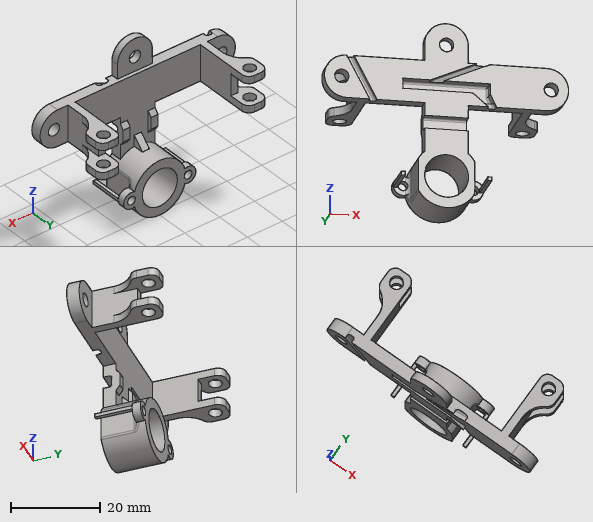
import cadquery as cq
import math


bar_length = 56.0
bar_height = 10.0
bar_depth = 3.0
half_height = bar_height / 2
tongue_top = 14.0
tongue_depth = 2.0
mount_hole_d = 3.2
mount_hole_x = 24.0

overall_depth = 20.0
wall_inner_x = 18.0
wall_thickness = 2.0
wall_outer_x = wall_inner_x + wall_thickness
wall_depth = 14.0
lug_width = 6.0
lug_outer_x = wall_inner_x + lug_width
lug_thickness = 2.0
lug_corner_r = 2.0
lug_flank_r = 6.0
lug_straight_y = 15.25
lug_hole_d = 3.1
lug_hole_y = 17.0

ring_outer_r = 7.5
ring_bore_d = 10.0
ring_depth = 11.0
ring_z = -22.0
flat_x = 6.5
ear_thickness = 2.0
ear_front_y = ring_depth - ear_thickness
ear_x = 8.1
ear_r = 2.25
ear_hole_d = 2.2
ear_fillet_r = 1.0
rim_fillet_r = 1.0
support_size = 0.9

neck_width = bar_height
slot_z = -9.5
slot_height = 3.0
slot_depth = 2.0
bulge_width = 2.0
bulge_height = 1.0
bulge_top_half = 1.6
bulge_base_half = 2.95
gusset_width = 2.0
gusset_depth = 6.0

floor_fillet_r = 0.5
pocket_half_length = 10.0
pocket_top_z = 0.45
pocket_bottom_z = -1.95
pocket_depth = 2.5
branch_start_x = 6.0
branch_end_left_x = 9.65
branch_end_right_x = 11.5
ledge_z = -3.8
ledge_depth = 1.5
left_groove_width = 1.5
left_groove_depth = 1.3
left_groove_top_x = -22.05
left_groove_bottom_x = -16.8
upper_groove_width = 1.25
upper_groove_depth = 1.5
upper_groove_top_x = 8.45
upper_groove_low_x = -4.9

overrun = 1.1
ledge_overrun = 0.3
small_gap = 0.05
rim_tolerance = 0.3


def front_plane(y=0.0):
    return cq.Workplane("XZ", origin=(0, y, 0))


def slab(width, z_low, z_high, y_low, y_high, x=0.0):
    """Box centred on x, spanning the given Z and Y ranges."""
    box = cq.Workplane("XY").box(width, y_high - y_low, z_high - z_low, centered=(True, False, False))
    return box.translate((x, y_low, z_low))


def cylinder(x, z, radius, y_low, y_high):
    return front_plane(y_low).center(x, z).circle(radius).extrude(y_low - y_high)


def side_profile_bar(points, width, x=0.0):
    """Bar of the given X width, centred on x, with a (y, z) polygon as its profile."""
    return cq.Workplane("YZ", origin=(x, 0, 0)).polyline(points).close().extrude(width / 2, both=True)


def make_plate():
    end_x = bar_length / 2 - half_height
    plate = slab(2 * end_x, -half_height, half_height, 0, bar_depth)
    for side in (-1, 1):
        plate = plate.union(cylinder(side * end_x, 0, half_height, 0, bar_depth))
    tongue_z = tongue_top - half_height
    plate = plate.union(slab(bar_height, 0, tongue_z, 0, tongue_depth))
    plate = plate.union(cylinder(0, tongue_z, half_height, 0, tongue_depth))
    for x, z in ((-mount_hole_x, 0), (mount_hole_x, 0), (0, tongue_z)):
        plate = plate.cut(cylinder(x, z, mount_hole_d / 2, -overrun, bar_depth + overrun))
    return plate


def make_lug(z_low):
    """Lug plate whose outer flank runs into the wall through two tangent arcs."""
    overhang = lug_outer_x - wall_outer_x
    turn = math.acos(1 - overhang / (lug_corner_r + lug_flank_r))
    flank_y = lug_straight_y - (lug_corner_r + lug_flank_r) * math.sin(turn)
    corner_x = lug_outer_x - lug_corner_r
    flank_x = wall_outer_x + lug_flank_r

    def on_corner(angle):
        return (corner_x + lug_corner_r * math.cos(angle), lug_straight_y - lug_corner_r * math.sin(angle))

    def on_flank(angle):
        return (flank_x - lug_flank_r * math.cos(angle), flank_y + lug_flank_r * math.sin(angle))

    lug = (
        cq.Workplane("XY", origin=(0, 0, z_low))
        .moveTo(wall_inner_x, 0)
        .lineTo(wall_outer_x, 0)
        .lineTo(wall_outer_x, flank_y)
        .threePointArc(on_flank(turn / 2), on_flank(turn))
        .threePointArc(on_corner(turn / 2), on_corner(0))
        .lineTo(lug_outer_x, overall_depth)
        .lineTo(wall_inner_x, overall_depth)
        .close()
        .extrude(lug_thickness)
        .edges("|Z and >Y")
        .fillet(lug_corner_r)
    )
    hole_x = wall_inner_x + lug_width / 2
    hole = cq.Workplane("XY", origin=(hole_x, lug_hole_y, z_low)).circle(lug_hole_d / 2).extrude(lug_thickness)
    return lug.cut(hole)


def make_clevis():
    wall_x = wall_inner_x + wall_thickness / 2
    clevis = slab(wall_thickness, -half_height, half_height, 0, wall_depth, wall_x)
    for z_low in (-half_height, half_height - lug_thickness):
        clevis = clevis.union(make_lug(z_low))
    return clevis


def make_neck():
    neck = slab(neck_width, ring_z, 0, 0, bar_depth)
    bulge_y = bar_depth + bulge_height
    bulge_profile = [
        (bar_depth, slot_z + bulge_base_half),
        (bulge_y, slot_z + bulge_top_half),
        (bulge_y, slot_z - bulge_top_half),
        (bar_depth, slot_z - bulge_base_half),
        (0, slot_z - bulge_base_half),
        (0, slot_z + bulge_base_half),
    ]
    for side in (-1, 1):
        x = side * (neck_width - bulge_width) / 2
        neck = neck.union(side_profile_bar(bulge_profile, bulge_width, x))
    ring_top = ring_z + ring_outer_r
    gusset_root_z = ring_z + ring_bore_d / 2
    gusset_profile = [
        (0, gusset_root_z),
        (0, ring_top + gusset_depth),
        (gusset_depth, ring_top),
        (gusset_depth, gusset_root_z),
    ]
    neck = neck.union(side_profile_bar(gusset_profile, gusset_width))
    slot = slab(neck_width, slot_z - slot_height / 2, slot_z + slot_height / 2, -overrun, slot_depth)
    return neck.cut(slot.edges(">Y and |X").fillet(floor_fillet_r))


def make_relief(side):
    """Cutter for the flat beside the ring, rounded where it meets the underside of the ear."""
    width = ring_outer_r
    relief = slab(width, ring_z - ring_outer_r, ring_z + ring_outer_r, -overrun, ear_front_y,
                  side * (flat_x + width / 2))
    root = "<X" if side > 0 else ">X"
    return relief.edges(f"|Z and >Y and {root}").fillet(ear_fillet_r)


def is_relief_rim(edge):
    """True for the edges where a relief runs out through the round outside of the ring."""
    middle = edge.Center()
    off_axis = math.hypot(middle.x, middle.z - ring_z)
    on_outside = abs(off_axis - ring_outer_r) < rim_tolerance
    on_relief = abs(middle.x) > flat_x - small_gap and 0 < middle.y < ear_front_y
    beside_ear = abs(middle.z - ring_z) > ear_r + small_gap
    return on_outside and on_relief and beside_ear


def make_ring():
    reliefs = make_relief(-1).union(make_relief(1))
    ring = cylinder(0, ring_z, ring_outer_r, 0, ring_depth).cut(reliefs)
    for side in (-1, 1):
        ring = ring.union(cylinder(side * ear_x, ring_z, ear_r, 0, ring_depth))
    ring = ring.edges().filter(is_relief_rim).fillet(rim_fillet_r).cut(reliefs)
    for side in (-1, 1):
        ring = ring.cut(cylinder(side * ear_x, ring_z, ear_hole_d / 2, -overrun, ring_depth + overrun))
        ring = ring.union(make_support(side))
    return ring


def make_support(side):
    """Thin square strut from the front face plane to the underside of an ear."""
    x = side * (ear_x + ear_r - support_size / 2)
    return slab(support_size, ring_z - support_size / 2, ring_z + support_size / 2, 0, ear_front_y, x)


def groove(start, end, width, depth):
    """Straight groove cutter between two (x, z) points, with filleted floor edges."""
    dx = end[0] - start[0]
    dz = end[1] - start[1]
    cutter = slab(math.hypot(dx, dz), -width / 2, width / 2, -overrun, depth)
    cutter = cutter.edges(">Y and |X").fillet(floor_fillet_r)
    cutter = cutter.rotate((0, 0, 0), (0, 1, 0), -math.degrees(math.atan2(dz, dx)))
    return cutter.translate(((start[0] + end[0]) / 2, 0, (start[1] + end[1]) / 2))


def point_at(start, end, z):
    """Point at height z on the line through two (x, z) points."""
    share = (z - start[1]) / (end[1] - start[1])
    return (start[0] + share * (end[0] - start[0]), z)


def make_pocket():
    """Long pocket with a slanting branch that steps up to a ledge before the lower edge of the bar."""
    left_start = (branch_start_x, pocket_bottom_z)
    left_end = (branch_end_left_x, -half_height)
    right_start = (pocket_half_length, pocket_bottom_z)
    right_end = (branch_end_right_x, -half_height)
    ledge_left = point_at(left_start, left_end, ledge_z)
    ledge_right = point_at(right_start, right_end, ledge_z)
    below = -half_height - ledge_overrun
    deep_outline = [
        (-pocket_half_length, pocket_top_z),
        (pocket_half_length, pocket_top_z),
        right_start,
        ledge_right,
        ledge_left,
        left_start,
        (-pocket_half_length, pocket_bottom_z),
    ]
    deep = front_plane(-overrun).polyline(deep_outline).close().extrude(-(overrun + pocket_depth))

    def is_filleted(edge):
        middle = edge.Center()
        return middle.z > pocket_bottom_z - small_gap or middle.x > pocket_half_length

    deep = deep.faces(">Y").edges().filter(is_filleted).fillet(floor_fillet_r)
    ledge_outline = [
        ledge_left,
        ledge_right,
        point_at(right_start, right_end, below),
        point_at(left_start, left_end, below),
    ]
    ledge = front_plane(-overrun).polyline(ledge_outline).close().extrude(-(overrun + ledge_depth))
    ledge = ledge.faces(">Y").edges("not |X").fillet(floor_fillet_r)
    return deep.union(ledge)


def make_left_groove():
    bottom = (left_groove_bottom_x, -half_height)
    top = (left_groove_top_x, half_height)
    start = point_at(bottom, top, -half_height - overrun)
    end = point_at(bottom, top, half_height + overrun)
    return groove(start, end, left_groove_width, left_groove_depth)


def make_upper_groove():
    """Groove that rises from inside the pocket to the upper edge of the bar."""
    low = (upper_groove_low_x, (pocket_top_z + pocket_bottom_z) / 2)
    top = (upper_groove_top_x, half_height)
    return groove(low, point_at(low, top, half_height + overrun), upper_groove_width, upper_groove_depth)


right_clevis = make_clevis()
body = make_plate().union(right_clevis).union(right_clevis.mirror("YZ"))
body = body.union(make_neck()).union(make_ring())
body = body.cut(cylinder(0, ring_z, ring_bore_d / 2, -overrun, ring_depth + overrun))
result = body.cut(make_left_groove()).cut(make_upper_groove()).cut(make_pocket())